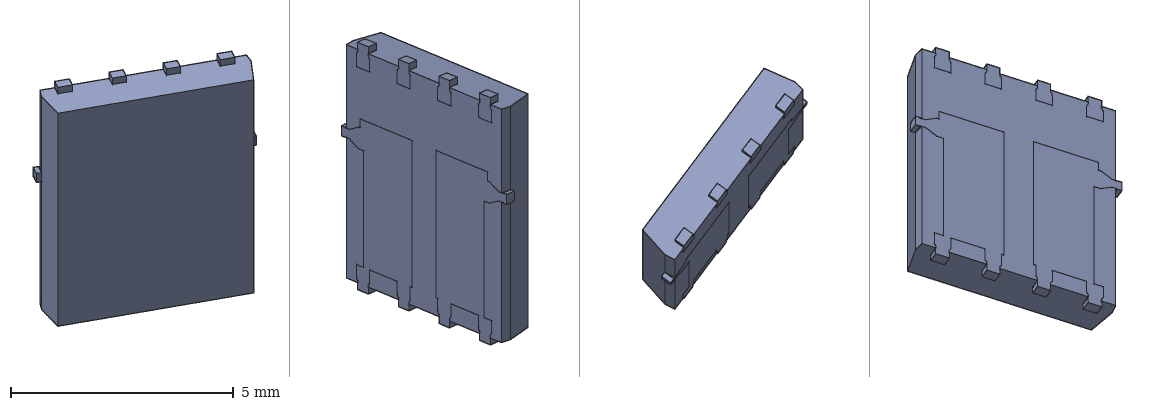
import cadquery as cq

overall_height = 6.15
overall_width = 5.15
half_height = overall_height / 2
half_width = overall_width / 2

housing_depth = 0.99
housing_half_height = 2.9
housing_back_half_width = 2.42
housing_widest_half_width = 2.455
housing_front_half_width = 2.295

metal_thickness = 0.25

lead_pitch = 1.265
inner_lead_y = lead_pitch / 2
outer_lead_y = inner_lead_y + lead_pitch
lead_root_width = 0.41
lead_neck_width = 0.325
inner_tab_width = lead_neck_width
outer_tab_width = 0.345
lead_root_z = 2.46
lead_taper_start_z = 2.775
lead_taper_end_z = 2.855

pad_top_z = 1.2
pad_inner_y = 0.37
pad_lower_outer_y = 1.875
pad_upper_outer_y = 1.985
tie_bar_z = 0.71
tie_root_width = 0.535
tie_neck_width = 0.235
tie_tab_width = 0.25
tie_taper_start_y = 2.04
tie_taper_end_y = 2.325


def extrude_metal(outline):
    """Extrude a closed (y, z) outline forward from the back face."""
    return cq.Workplane("YZ").polyline(outline).close().extrude(metal_thickness)


def make_housing_block():
    """Full-height block whose sides flare out, then taper towards the front."""
    left_side = [
        (0, housing_back_half_width),
        (metal_thickness, housing_widest_half_width),
        (housing_depth, housing_front_half_width),
    ]
    right_side = [(x, -y) for x, y in reversed(left_side)]
    return (
        cq.Workplane("XY")
        .workplane(offset=-housing_half_height)
        .polyline(left_side + right_side)
        .close()
        .extrude(2 * housing_half_height)
    )


def make_lead(center_y, tab_width):
    """Upper lead, with its root inside the housing and its tab above it."""
    half_outline = [
        (lead_root_width / 2, lead_root_z),
        (lead_root_width / 2, lead_taper_start_z),
        (lead_neck_width / 2, lead_taper_end_z),
    ]
    if tab_width > lead_neck_width:
        half_outline.append((lead_neck_width / 2, housing_half_height))
        half_outline.append((tab_width / 2, housing_half_height))
    half_outline.append((tab_width / 2, half_height))
    other_half = [(-y, z) for y, z in reversed(half_outline)]
    return extrude_metal(half_outline + other_half).translate((0, center_y, 0))


def make_pad_plate():
    """Plate of the +Y drain pad, stepped at its outer edge where the tie bar leaves it."""
    return extrude_metal([
        (pad_inner_y, -lead_root_z),
        (pad_lower_outer_y, -lead_root_z),
        (pad_lower_outer_y, tie_bar_z),
        (pad_upper_outer_y, tie_bar_z),
        (pad_upper_outer_y, pad_top_z),
        (pad_inner_y, pad_top_z),
    ])


def make_tie_bar():
    """Tie bar from the +Y plate through the housing side, ending in an exposed tab."""
    upper_half = [
        (pad_lower_outer_y, tie_root_width / 2),
        (tie_taper_start_y, tie_root_width / 2),
        (tie_taper_end_y, tie_neck_width / 2),
        (housing_widest_half_width, tie_neck_width / 2),
        (housing_widest_half_width, tie_tab_width / 2),
        (half_width, tie_tab_width / 2),
    ]
    lower_half = [(y, -z) for y, z in reversed(upper_half)]
    return extrude_metal(upper_half + lower_half).translate((0, 0, tie_bar_z))


def make_drain_pad():
    """Drain pad on the +Y side: plate, tie bar and two lower leads in one piece."""
    drain_pad = make_pad_plate().union(make_tie_bar())
    for lead_y, tab_width in ((inner_lead_y, inner_tab_width), (outer_lead_y, outer_tab_width)):
        drain_pad = drain_pad.union(make_lead(lead_y, tab_width).mirror("XY"))
    return cq.Workplane(drain_pad.solids().val())


leads = []
for side in (-1, 1):
    leads.append(make_lead(side * inner_lead_y, inner_tab_width))
    leads.append(make_lead(side * outer_lead_y, outer_tab_width))

left_drain_pad = make_drain_pad()
right_drain_pad = left_drain_pad.mirror("XZ")
drain_pads = [left_drain_pad, right_drain_pad]

housing = make_housing_block()
for metal_part in leads + drain_pads:
    housing = housing.cut(metal_part)

result = cq.Compound.makeCompound([
    housing.solids().val(),
    *[lead.val() for lead in leads],
    *[drain_pad.val() for drain_pad in drain_pads],
])